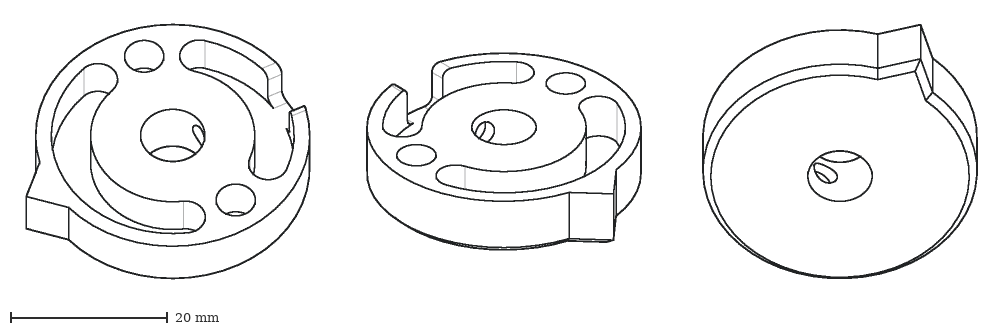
import cadquery as cq
import math

height = 8.0
disc_radius = 17.5
pointer_tip = 21.05
bottom_chamfer = 1.0

floor_height = 2.0
pitch_radius = 13.0
pocket_width = 5.0
upper_slot_angle = 42.5
lower_slot_angle = 20.0
round_pocket_angle = 11.0

bore_diameter = 8.2

radial_hole_diameter = 3.4
radial_hole_height = 5.0
radial_hole_end = 5.47

opening_half_width = 3.0
opening_fillet = 1.2


def polar(radius, angle):
    """Point at the given radius and angle in degrees."""
    a = math.radians(angle)
    return (radius * math.cos(a), radius * math.sin(a))


def make_body():
    disc = cq.Workplane("XY").circle(disc_radius).extrude(height)
    pointer = (
        cq.Workplane("XY")
        .polyline([(0, -pointer_tip), (pointer_tip, 0), (-pointer_tip, 0)])
        .close()
        .extrude(height)
    )
    reach = cq.Workplane("XY").rect(disc_radius, 2 * pointer_tip).extrude(height)
    return disc.union(pointer.intersect(reach)).faces("<Z").chamfer(bottom_chamfer)


def curved_slot(start, end):
    """Round-ended slot along the pitch circle, from start to end angle."""
    middle = (start + end) / 2
    inner = pitch_radius - pocket_width / 2
    outer = pitch_radius + pocket_width / 2
    band = (
        cq.Workplane("XY", origin=(0, 0, floor_height))
        .moveTo(*polar(inner, start))
        .threePointArc(polar(inner, middle), polar(inner, end))
        .lineTo(*polar(outer, end))
        .threePointArc(polar(outer, middle), polar(outer, start))
        .close()
        .extrude(height - floor_height)
    )
    return band.union(round_pockets([start, end]))


def round_pockets(angles):
    return (
        cq.Workplane("XY", origin=(0, 0, floor_height))
        .pushPoints([polar(pitch_radius, angle) for angle in angles])
        .circle(pocket_width / 2)
        .extrude(height - floor_height)
    )


def rim_opening():
    """Opening with rounded floor corners and flared, rounded top edges."""
    r = opening_fillet
    diagonal = r * math.sqrt(0.5)
    inside = opening_half_width - r
    outside = opening_half_width + r
    return (
        cq.Workplane("XZ", origin=(0, pitch_radius, 0))
        .moveTo(-inside, floor_height)
        .lineTo(inside, floor_height)
        .threePointArc(
            (inside + diagonal, floor_height + r - diagonal),
            (opening_half_width, floor_height + r),
        )
        .lineTo(opening_half_width, height - r)
        .threePointArc((outside - diagonal, height - r + diagonal), (outside, height))
        .lineTo(-outside, height)
        .threePointArc(
            (-outside + diagonal, height - r + diagonal),
            (-opening_half_width, height - r),
        )
        .lineTo(-opening_half_width, floor_height + r)
        .threePointArc(
            (-inside - diagonal, floor_height + r - diagonal),
            (-inside, floor_height),
        )
        .close()
        .extrude(-disc_radius)
    )


def radial_hole():
    return (
        cq.Workplane("XZ", origin=(0, 0, radial_hole_height))
        .circle(radial_hole_diameter / 2)
        .extrude(-radial_hole_end)
    )


bore = cq.Workplane("XY").circle(bore_diameter / 2).extrude(height)

result = (
    make_body()
    .cut(curved_slot(upper_slot_angle, 180 - upper_slot_angle))
    .cut(curved_slot(180 + lower_slot_angle, 360 - lower_slot_angle))
    .cut(round_pockets([round_pocket_angle, 180 - round_pocket_angle]))
    .cut(rim_opening())
    .cut(bore)
    .cut(radial_hole())
)